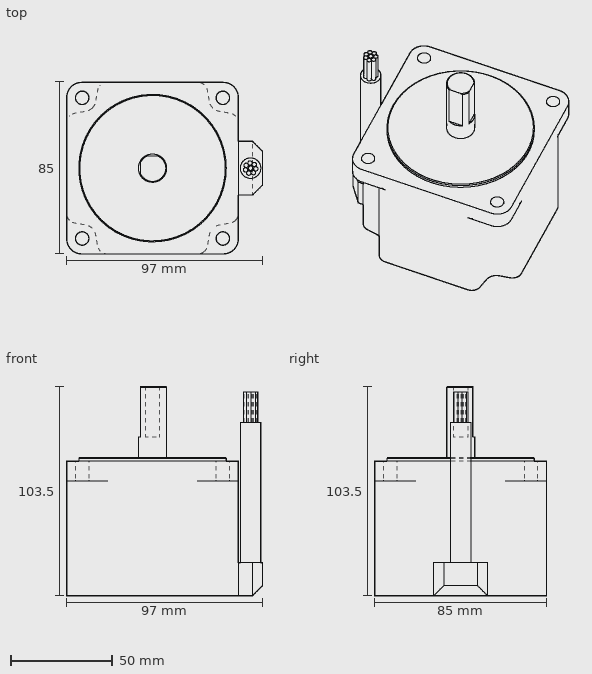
import cadquery as cq
import math


total_height = 103.5
side = 85.0
half_side = side / 2

flange_bottom = 56.8
flange_top = 66.7
flange_corner_radius = 7.6
mount_hole_spacing = 69.6
mount_hole_diameter = 6.5
pilot_diameter = 73.0
pilot_top = 68.5
pilot_chamfer = 0.5

recess_length = 16.0
recess_slope = math.radians(10)
recess_depth = recess_length / (1 + math.tan(recess_slope))
recess_outer_radius = 5.0
recess_inner_radius = 6.0

shaft_diameter = 14.0
shaft_flat_offset = 6.0
shaft_flat_length = 24.9
shaft_tip_chamfer = 0.4

outlet_reach = 12.0
outlet_width = 26.7
outlet_height = 16.4
outlet_chamfer = 5.1

cable_diameter = 10.1
cable_top = 85.8
cable_x = half_side + outlet_reach / 2
wire_diameter = 2.2
wire_top = 100.8
wire_ring_radius = 2.6
outer_wire_count = 7
first_wire_angle = 96


def cylinder(diameter, bottom, top, x=0, y=0):
    """Vertical cylinder between two heights."""
    return cq.Workplane("XY", origin=(x, y, bottom)).circle(diameter / 2).extrude(top - bottom)


def make_corner_recess():
    """Cutter for the sharp recess at the (-X, -Y) body corner."""
    return (
        cq.Workplane("XY")
        .moveTo(-half_side, -half_side)
        .lineTo(-half_side + recess_length, -half_side)
        .lineTo(-half_side + recess_depth, -half_side + recess_depth)
        .lineTo(-half_side, -half_side + recess_length)
        .close()
        .extrude(flange_bottom)
    )


def make_body():
    body = cq.Workplane("XY").rect(side, side).extrude(flange_bottom)
    recess = make_corner_recess()
    for quarter in range(4):
        body = body.cut(recess.rotate((0, 0, 0), (0, 0, 1), 90 * quarter))

    inner_size = side - recess_depth
    inner_edges = cq.selectors.BoxSelector(
        (-inner_size / 2, -inner_size / 2, -1),
        (inner_size / 2, inner_size / 2, flange_bottom + 1),
    )
    body = body.edges("|Z").edges(inner_edges).fillet(recess_inner_radius)

    for face in ("<X", ">X", "<Y", ">Y"):
        body = body.faces(face).edges("|Z").fillet(recess_outer_radius)
    return body


def make_flange():
    return (
        cq.Workplane("XY", origin=(0, 0, flange_bottom))
        .rect(side, side)
        .extrude(flange_top - flange_bottom)
        .edges("|Z")
        .fillet(flange_corner_radius)
        .faces(">Z")
        .workplane()
        .rect(mount_hole_spacing, mount_hole_spacing, forConstruction=True)
        .vertices()
        .hole(mount_hole_diameter)
    )


def make_pilot():
    return cylinder(pilot_diameter, flange_top, pilot_top).faces(">Z").chamfer(pilot_chamfer)


def make_shaft():
    """Round shaft with two flats near the tip, facing -X and +Y."""
    shaft = cylinder(shaft_diameter, pilot_top, total_height)
    cutter_size = 2 * shaft_diameter
    flat_bottom = total_height - shaft_flat_length
    cutter_offset = shaft_flat_offset + cutter_size / 2
    for x, y in ((-cutter_offset, 0), (0, cutter_offset)):
        cutter = (
            cq.Workplane("XY", origin=(x, y, flat_bottom))
            .rect(cutter_size, cutter_size)
            .extrude(shaft_flat_length)
        )
        shaft = shaft.cut(cutter)
    tip_cone = (
        cylinder(shaft_diameter, pilot_top, total_height)
        .faces(">Z")
        .chamfer(shaft_tip_chamfer)
    )
    return shaft.intersect(tip_cone)


def make_outlet():
    """Box on the +X face, chamfered along its three free outer edges."""
    outlet = (
        cq.Workplane("XY", origin=(cable_x, 0, 0))
        .rect(outlet_reach, outlet_width)
        .extrude(outlet_height)
    )
    return outlet.faces(">X").edges("|Z or <Z").chamfer(outlet_chamfer)


def make_cable():
    """Sheathed cable with one central wire and a ring of wires around it."""
    cable = cylinder(cable_diameter, outlet_height, cable_top, cable_x)
    cable = cable.union(cylinder(wire_diameter, cable_top, wire_top, cable_x))
    for index in range(outer_wire_count):
        angle = math.radians(first_wire_angle + 360 * index / outer_wire_count)
        wire_x = cable_x + wire_ring_radius * math.cos(angle)
        wire_y = wire_ring_radius * math.sin(angle)
        cable = cable.union(cylinder(wire_diameter, cable_top, wire_top, wire_x, wire_y))
    return cable


result = (
    make_body()
    .union(make_flange())
    .union(make_pilot())
    .union(make_shaft())
    .union(make_outlet())
    .union(make_cable())
)